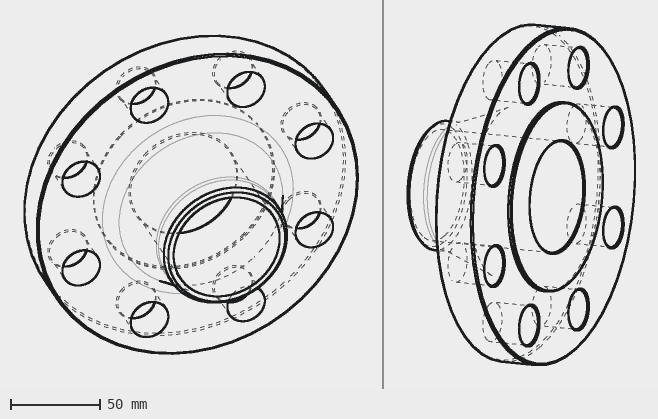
import cadquery as cq
import math

length = 77.0
raised_face_height = 2.0
flange_back = 25.8
neck_start = 64.2

flange_diameter = 190.0
raised_face_diameter = 106.8
neck_diameter = 73.0
bore_diameter = 62.7
bolt_hole_diameter = 22.2
bolt_circle_diameter = 149.2

bolt_hole_count = 8
hub_angle = 20.0
hub_root_radius = 8.5
hub_neck_radius = 7.6
flange_chamfer = 1.0
raised_face_chamfer = 0.5
hole_chamfer = 0.8
weld_chamfer_length = 2.3
weld_chamfer_depth = 1.9

flange_radius = flange_diameter / 2
raised_face_radius = raised_face_diameter / 2
neck_radius = neck_diameter / 2
hub_slope = math.tan(math.radians(hub_angle))
hub_base_radius = neck_radius + (neck_start - flange_back) * hub_slope


def circle_edges(solid, x, radius):
    """Select the circular edge around the X axis at the given place."""
    tolerance = 0.1
    corner_low = (x - tolerance, -radius - tolerance, -radius - tolerance)
    corner_high = (x + tolerance, radius + tolerance, radius + tolerance)
    inside = cq.selectors.BoxSelector(corner_low, corner_high, boundingbox=True)
    return solid.edges(inside).edges(cq.selectors.RadiusNthSelector(-1))


def flange_body():
    """Revolve the flange, raised face and tapered hub about the X axis."""
    profile = [
        (0, 0),
        (0, raised_face_radius - raised_face_chamfer),
        (raised_face_chamfer, raised_face_radius),
        (raised_face_height, raised_face_radius),
        (raised_face_height, flange_radius - flange_chamfer),
        (raised_face_height + flange_chamfer, flange_radius),
        (flange_back - flange_chamfer, flange_radius),
        (flange_back, flange_radius - flange_chamfer),
        (flange_back, hub_base_radius),
        (neck_start, neck_radius),
        (length - weld_chamfer_length, neck_radius),
        (length, neck_radius - weld_chamfer_depth),
        (length, 0),
    ]
    body = cq.Workplane("XY").polyline(profile).close().revolve(360, (0, 0), (1, 0))
    body = circle_edges(body, flange_back, hub_base_radius).fillet(hub_root_radius)
    return circle_edges(body, neck_start, neck_radius).fillet(hub_neck_radius)


def hole_cutter(diameter, face_x):
    """Through-hole cutter along X, chamfered where it enters the face at face_x."""
    radius = diameter / 2
    profile = [
        (face_x, 0),
        (face_x, radius + hole_chamfer),
        (face_x + hole_chamfer, radius),
        (length, radius),
        (length, 0),
    ]
    return cq.Workplane("XY").polyline(profile).close().revolve(360, (0, 0), (1, 0))


result = flange_body().cut(hole_cutter(bore_diameter, 0))

bolt_hole = hole_cutter(bolt_hole_diameter, raised_face_height)
bolt_hole = bolt_hole.translate((0, 0, bolt_circle_diameter / 2))
hole_pitch = 360 / bolt_hole_count
for index in range(bolt_hole_count):
    angle = (index + 0.5) * hole_pitch
    result = result.cut(bolt_hole.rotate((0, 0, 0), (1, 0, 0), angle))